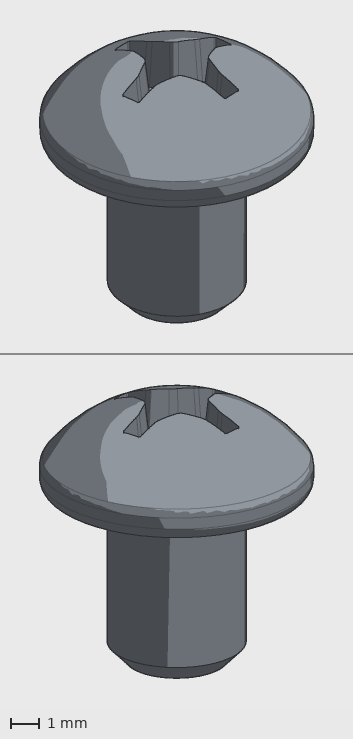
import cadquery as cq
import math

shank_radius = 2.405
tip_radius = 1.77
tip_height = 0.66

head_radius = 4.73
head_bottom = 6.33
dome_radius = 5.945
dome_apex = 9.73
rim_fillet = 0.47

recess_floor = 7.76
recess_taper = 5.8
arm_length = 2.35
arm_half_width = 0.23
flare_start = 1.56
throat_offset = 0.61
throat_radius = 0.38
flare_radius = 0.58
arm_end_radius = 0.06


def make_shank():
    """Plain shank with a conical tip, reaching up to the head."""
    profile = [
        (0, 0),
        (tip_radius, 0),
        (shank_radius, tip_height),
        (shank_radius, head_bottom),
        (0, head_bottom),
    ]
    return cq.Workplane("XZ").polyline(profile).close().revolve(360, (0, 0), (0, 1))


def make_head():
    """Spherical dome on a short cylindrical rim, with both rim edges rounded."""
    dome_center = dome_apex - dome_radius
    rim_top = dome_center + math.sqrt(dome_radius**2 - head_radius**2)
    half_angle = math.asin(head_radius / dome_radius) / 2
    dome_midpoint = (
        dome_radius * math.sin(half_angle),
        dome_center + dome_radius * math.cos(half_angle),
    )
    head = (
        cq.Workplane("XZ")
        .moveTo(0, head_bottom)
        .lineTo(head_radius, head_bottom)
        .lineTo(head_radius, rim_top)
        .threePointArc(dome_midpoint, (0, dome_apex))
        .close()
        .revolve(360, (0, 0), (0, 1))
    )
    rim_edges = head.edges("%CIRCLE").edges(cq.selectors.RadiusNthSelector(0))
    return rim_edges.fillet(rim_fillet)


def recess_outline(offset):
    """Corners of the cross, with every side moved outward by the offset."""
    half_width = arm_half_width + offset
    flare_angle = math.atan2(throat_offset - arm_half_width, flare_start - throat_offset)
    arm_end = arm_length + offset
    flare = flare_start + offset * math.tan(flare_angle / 2)
    throat = throat_offset + offset / (math.sin(flare_angle) + math.cos(flare_angle))
    arm = [
        (arm_end, -half_width),
        (arm_end, half_width),
        (flare, half_width),
        (throat, throat),
        (half_width, flare),
    ]
    outline = []
    for turn in range(4):
        angle = math.radians(90 * turn)
        cosine = math.cos(angle)
        sine = math.sin(angle)
        outline += [(x * cosine - y * sine, x * sine + y * cosine) for x, y in arm]
    return outline


def round_side_edges(cutter, corner_reach, radius):
    """Round the upright edges whose floor corner has this larger coordinate."""
    tolerance = 0.001
    edges = []
    for edge in cutter.edges("not(#Z)").vals():
        foot = min(edge.startPoint(), edge.endPoint(), key=lambda point: point.z)
        if abs(max(abs(foot.x), abs(foot.y)) - corner_reach) < tolerance:
            edges.append(edge)
    return cutter.newObject(edges).fillet(radius)


def make_recess():
    """Four-armed tapered cutter with rounded upright edges."""
    depth = dome_apex - recess_floor
    widening = depth * math.tan(math.radians(recess_taper))
    cutter = (
        cq.Workplane("XY", origin=(0, 0, recess_floor))
        .polyline(recess_outline(0))
        .close()
        .workplane(offset=depth)
        .polyline(recess_outline(widening))
        .close()
        .loft(ruled=True)
    )
    cutter = round_side_edges(cutter, throat_offset, throat_radius)
    cutter = round_side_edges(cutter, flare_start, flare_radius)
    return round_side_edges(cutter, arm_length, arm_end_radius)


result = make_shank().union(make_head()).cut(make_recess())